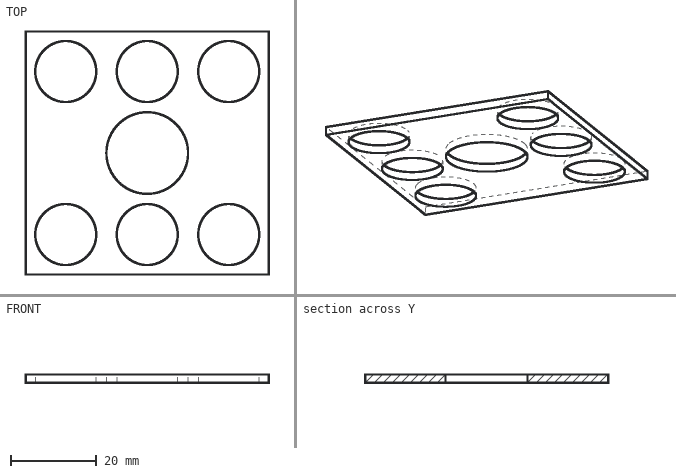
import cadquery as cq

plate_side = 56.9
plate_thickness = 2.0

center_hole_diameter = 19.05
outer_hole_diameter = 14.2
hole_pitch = 19.05

outer_hole_centers = [
    (column * hole_pitch, row * hole_pitch)
    for row in (-1, 1)
    for column in (-1, 0, 1)
]

plate = cq.Workplane("XY").rect(plate_side, plate_side).extrude(plate_thickness)

result = (
    plate.faces(">Z")
    .workplane(origin=(0, 0, plate_thickness))
    .hole(center_hole_diameter)
    .faces(">Z")
    .workplane(origin=(0, 0, plate_thickness))
    .pushPoints(outer_hole_centers)
    .hole(outer_hole_diameter)
)